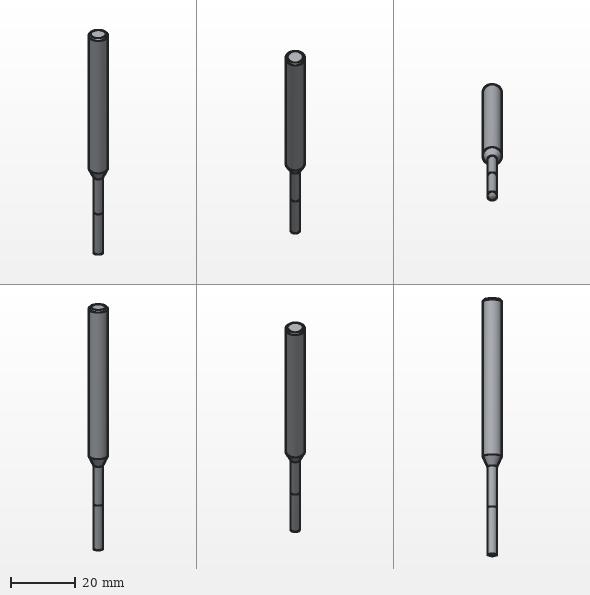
import cadquery as cq
import math


overall_length = 81.55
shank_diameter = 6.0
drill_diameter = 3.02

point_angle = 140.0

cutting_length = 15.55
neck_top = 28.55
shank_bottom = 31.75

bevel_width = 0.6
bevel_height = 0.6

shank_radius = shank_diameter / 2
drill_radius = drill_diameter / 2
point_height = drill_radius / math.tan(math.radians(point_angle / 2))
tip_height = 0.0


def revolve_about_z(profile):
    """Turn a closed (radius, height) profile around Z, with its seam facing -Y."""
    section = [(-radius, height) for radius, height in profile]
    return cq.Workplane("YZ").polyline(section).close().revolve(360, (0, 0, 0), (0, 1, 0))


def make_cutting_part():
    """Plain cylinder ending in a conical drill point."""
    return revolve_about_z([
        (0, tip_height),
        (drill_radius, tip_height + point_height),
        (drill_radius, cutting_length),
        (0, cutting_length),
    ])


def make_shank_part():
    """Slim neck, conical transition and bevelled cylindrical shank."""
    return revolve_about_z([
        (0, cutting_length),
        (drill_radius, cutting_length),
        (drill_radius, neck_top),
        (shank_radius, shank_bottom),
        (shank_radius, overall_length - bevel_height),
        (shank_radius - bevel_width, overall_length),
        (0, overall_length),
    ])


cutting_part = make_cutting_part()
shank_part = make_shank_part()

result = cq.Compound.makeCompound([cutting_part.val(), shank_part.val()])